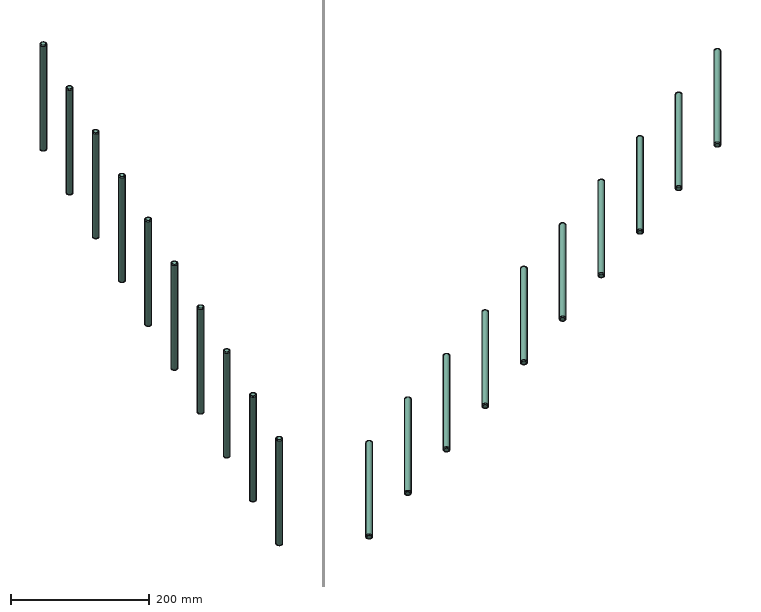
import cadquery as cq

row_length = 910.0
pin_count = 10
pin_diameter = 10.0
pin_length = 210.0
end_chamfer = 1.5

pin_pitch = (row_length - pin_diameter) / (pin_count - 1)


def make_pin(x_position):
    """Upright round pin, chamfered at both ends, standing on Z = 0."""
    return (
        cq.Workplane("XY")
        .center(x_position, 0)
        .circle(pin_diameter / 2)
        .extrude(pin_length)
        .faces("<Z or >Z")
        .edges()
        .chamfer(end_chamfer)
    )


pins = [make_pin(index * pin_pitch) for index in range(pin_count)]

result = cq.Compound.makeCompound([pin.val() for pin in pins])